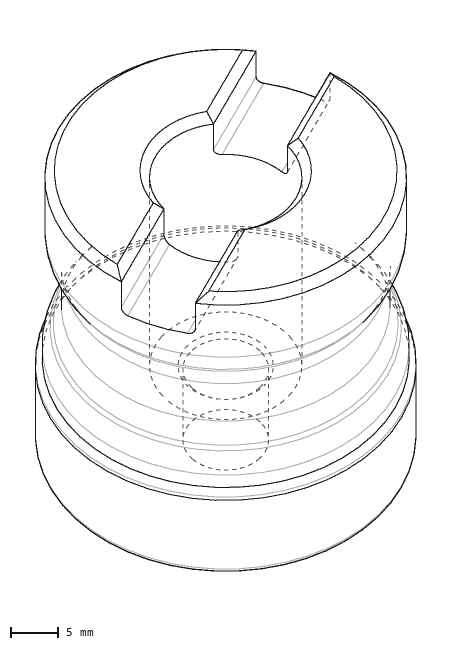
import cadquery as cq
import math

total_height = 40.0
base_height = 11.0
collar_top = 12.2

base_radius = 20.0
land_radius = 38.55 / 2
neck_radius = 34.55 / 2
crown_radius = 38.0 / 2

base_round = 0.8
collar_round = 0.7
crown_chamfer = 1.0
hole_chamfer = 0.5

blend_radius = 5.0
land_top = 14.05
crown_bottom = 31.3
lower_blend_angle = math.radians(33.5)
upper_blend_angle = math.radians(30)

bore_radius = 16.0 / 2
hole_radius = 9.0 / 2
slot_width = 8.4
slot_depth = 5.6
slot_round = 0.8


def arc_offset(angle):
    """Radial and axial distance covered by a blend arc that starts parallel to Z."""
    return blend_radius * (1 - math.cos(angle)), blend_radius * math.sin(angle)


def blend_height(radius_change, angle):
    """Axial length of a blend made by add_blend."""
    full_r, full_z = arc_offset(angle)
    return 2 * full_z + (radius_change - 2 * full_r) / math.tan(angle)


def add_blend(profile, start, end_radius, angle, first_bend):
    """Climb from start to end_radius: arc, straight cone, opposite arc.

    first_bend is -1 when the radius shrinks on the way up and +1 when it grows.
    """
    start_radius, start_z = start
    full_r, full_z = arc_offset(angle)
    half_r, half_z = arc_offset(angle / 2)
    end_z = start_z + blend_height(abs(end_radius - start_radius), angle)
    profile = profile.threePointArc(
        (start_radius + first_bend * half_r, start_z + half_z),
        (start_radius + first_bend * full_r, start_z + full_z),
    )
    profile = profile.lineTo(end_radius - first_bend * full_r, end_z - full_z)
    return profile.threePointArc(
        (end_radius - first_bend * half_r, end_z - half_z),
        (end_radius, end_z),
    )


def make_base():
    """Round foot with a rounded lower rim and a chamfered through hole."""
    foot = cq.Workplane("XY").circle(base_radius).extrude(base_height)
    foot = foot.faces("<Z").edges().fillet(base_round)
    foot = foot.cut(cq.Workplane("XY").circle(hole_radius).extrude(base_height))
    rim = cq.selectors.RadiusNthSelector(0)
    return foot.faces(">Z").edges(rim).chamfer(hole_chamfer)


def make_slot_cutter():
    """Slot along Y with rounded floor corners and chamfered upper edges."""
    floor_z = total_height - slot_depth
    cutter = (
        cq.Workplane("XY", origin=(0, 0, floor_z))
        .rect(slot_width, 2 * base_radius)
        .extrude(slot_depth)
        .faces("<Z").edges("|Y").fillet(slot_round)
    )
    half_width = slot_width / 2
    flare = (
        cq.Workplane("XZ")
        .moveTo(-half_width, total_height - crown_chamfer)
        .lineTo(half_width, total_height - crown_chamfer)
        .lineTo(half_width + crown_chamfer, total_height)
        .lineTo(-half_width - crown_chamfer, total_height)
        .close()
        .extrude(base_radius, both=True)
    )
    return cutter.union(flare)


def make_head():
    """Turned head standing on the base: collar, necked waist and slotted crown."""
    round_middle = collar_round * (1 - math.sqrt(0.5))
    profile = (
        cq.Workplane("XZ")
        .moveTo(bore_radius, base_height)
        .lineTo(base_radius, base_height)
        .lineTo(base_radius, collar_top - collar_round)
        .threePointArc(
            (base_radius - round_middle, collar_top - round_middle),
            (base_radius - collar_round, collar_top),
        )
        .lineTo(land_radius, collar_top)
        .lineTo(land_radius, land_top)
    )
    profile = add_blend(
        profile, (land_radius, land_top), neck_radius, lower_blend_angle, -1
    )
    neck_top = crown_bottom - blend_height(crown_radius - neck_radius, upper_blend_angle)
    profile = profile.lineTo(neck_radius, neck_top)
    profile = add_blend(
        profile, (neck_radius, neck_top), crown_radius, upper_blend_angle, 1
    )
    profile = (
        profile.lineTo(crown_radius, total_height - crown_chamfer)
        .lineTo(crown_radius - crown_chamfer, total_height)
        .lineTo(bore_radius + crown_chamfer, total_height)
        .lineTo(bore_radius, total_height - crown_chamfer)
    )
    turned = profile.close().revolve(360, (0, 0, 0), (0, 1, 0))
    return turned.cut(make_slot_cutter())


base = make_base()
head = make_head()

result = cq.Compound.makeCompound([base.val(), head.val()])